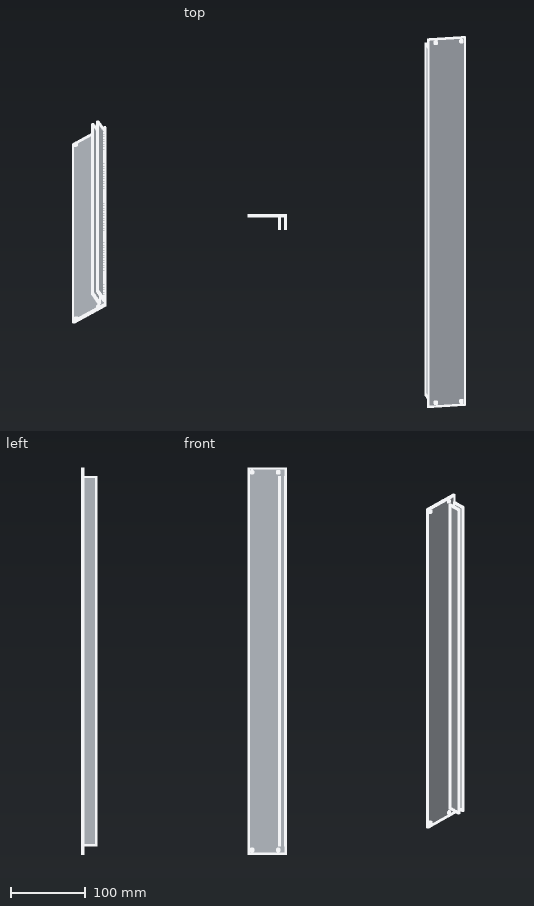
import cadquery as cq

panel_width = 50.0
panel_length = 515.0
panel_thickness = 2.0

overall_depth = 19.0
rib_thickness = 1.5
rib_gap = 6.0
rib_end_margin = 11.5
rib_length = panel_length - 2 * rib_end_margin
rib_height = overall_depth - panel_thickness

hole_diameter = 3.0
hole_end_margin = 5.0
left_hole_x = 4.5
right_hole_x = 39.5


def make_panel():
    """Panel with its left, front, lower corner at the origin."""
    return cq.Workplane("XY").box(panel_width, panel_thickness, panel_length, centered=False)


def make_rib(left_x):
    """Thin rib projecting toward -Y from the panel's front face."""
    return (
        cq.Workplane("XY")
        .box(rib_thickness, rib_height, rib_length, centered=False)
        .translate((left_x, -rib_height, rib_end_margin))
    )


def drill_mounting_holes(body):
    """Drill a through hole near each corner of the panel."""
    centers = [
        (x, z)
        for x in (left_hole_x, right_hole_x)
        for z in (hole_end_margin, panel_length - hole_end_margin)
    ]
    drills = (
        cq.Workplane("XZ")
        .pushPoints(centers)
        .circle(hole_diameter / 2)
        .extrude(-panel_thickness)
    )
    return body.cut(drills)


outer_rib_x = panel_width - rib_thickness
inner_rib_x = outer_rib_x - rib_gap - rib_thickness

result = drill_mounting_holes(make_panel())
for rib_x in (inner_rib_x, outer_rib_x):
    result = result.union(make_rib(rib_x))